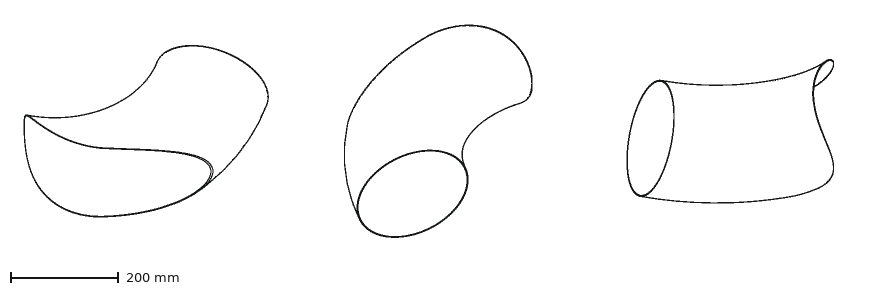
import cadquery as cq

outer_diameter = 219.5
outer_side = 414.5
wall = 2.0

lobe_tip_x = 137.2
lobe_tip_y = -284.5
lobe_end_x = 174.0

outer_radius = outer_diameter / 2
inner_radius = outer_radius - wall
bend_radius = outer_side - outer_radius
trim_margin = 20.7


def quarter_bend(radius):
    """Solid torus quarter about the Z axis, running from the +X to the -Y direction."""
    return (
        cq.Workplane("XZ")
        .center(bend_radius, 0)
        .circle(radius)
        .revolve(90, (-bend_radius, 0), (-bend_radius, -1))
    )


def saddle_y(x):
    """Parabola where the bend meets an equal straight pipe lying along X."""
    return x**2 / (4 * bend_radius) - bend_radius


def end_trim():
    """Block along Z that removes everything beyond the lobe and the saddle curve."""
    inner_tip = (0, inner_radius - bend_radius)
    lobe_end = (lobe_end_x, saddle_y(lobe_end_x))
    saddle_end = (outer_side, saddle_y(outer_side))

    tangent_crossing = (
        (lobe_end_x + outer_side) / 2,
        lobe_end_x * outer_side / (4 * bend_radius) - bend_radius,
    )

    far_x = outer_side + trim_margin
    far_y = -outer_side - trim_margin
    return (
        cq.Workplane("XY")
        .moveTo(*inner_tip)
        .threePointArc((lobe_tip_x, lobe_tip_y), lobe_end)
        .bezier([lobe_end, tangent_crossing, saddle_end])
        .lineTo(far_x, saddle_end[1])
        .lineTo(far_x, far_y)
        .lineTo(-trim_margin, far_y)
        .lineTo(-trim_margin, inner_tip[1])
        .close()
        .extrude(outer_radius + trim_margin, both=True)
    )


tube = quarter_bend(outer_radius).cut(quarter_bend(inner_radius))
result = tube.cut(end_trim()).solids()